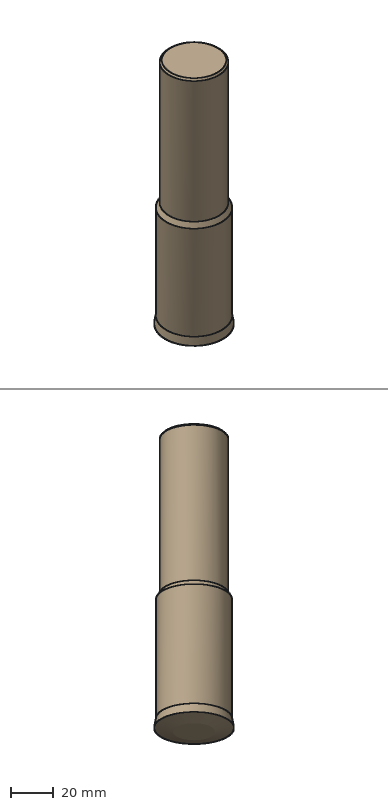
import cadquery as cq

total_height = 150.0
shank_radius = 16.0
shank_length = 80.0
shank_chamfer = 1.0
barrel_radius = 17.8
shoulder_height = 2.7

rim_radius = 18.615
rim_bottom_z = 1.9
rim_top_z = 2.3
joint_z = 6.6
foot_flat_radius = 9.8

shank_bottom_z = total_height - shank_length
barrel_top_z = shank_bottom_z - shoulder_height


def turned_solid(outline):
    """Revolve a closed (radius, z) outline about the Z axis."""
    return cq.Workplane("XZ").polyline(outline).close().revolve(360, (0, 0, 0), (0, 1, 0))


def make_body():
    """Stepped round body with a chamfered top, seated on the foot."""
    return turned_solid([
        (0, joint_z),
        (barrel_radius, joint_z),
        (barrel_radius, barrel_top_z),
        (shank_radius, shank_bottom_z),
        (shank_radius, total_height - shank_chamfer),
        (shank_radius - shank_chamfer, total_height),
        (0, total_height),
    ])


def make_foot():
    """Round foot that flares from the barrel out to the rim, then tapers to a flat."""
    return turned_solid([
        (0, 0),
        (foot_flat_radius, 0),
        (rim_radius, rim_bottom_z),
        (rim_radius, rim_top_z),
        (barrel_radius, joint_z),
        (0, joint_z),
    ])


body = make_body()
foot = make_foot()

result = cq.Compound.makeCompound([body.val(), foot.val()])